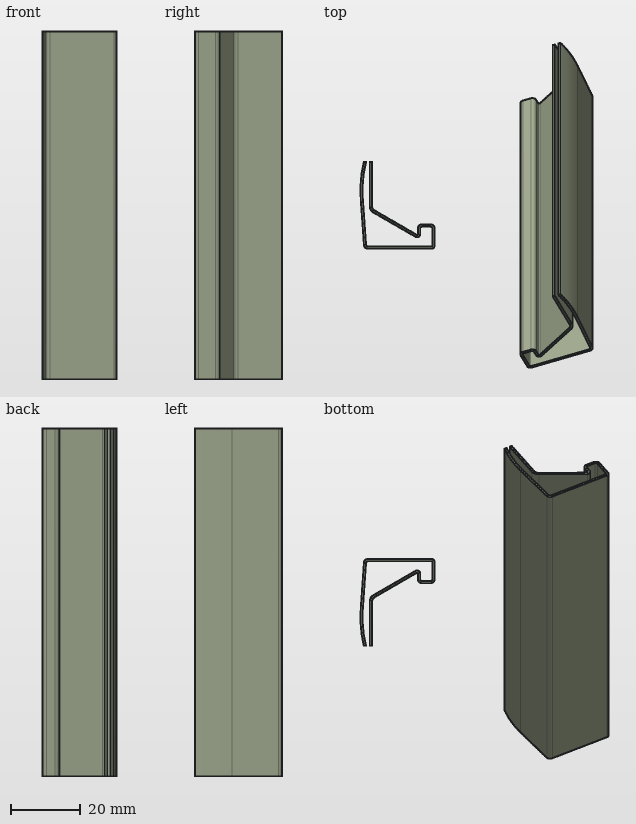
import cadquery as cq
import math

width = 21.39
depth = 25.0
length = 100.0
thickness = 0.7

tight_radius = 0.2
normal_radius = 0.5
wide_radius = 1.5

lean = math.radians(4)
curve_start_y = 14.5
curve_radius = 34.0

arm_x = 2.7
arm_slope = math.radians(30)
hook_x = 16.55
hook_top_y = 7.05
arm_corner_y = 11.05


def polar(center, radius, angle):
    """Point on a circle, with the angle measured from -X towards +Y."""
    return (center[0] - radius * math.cos(angle), center[1] + radius * math.sin(angle))


def lean_x(distance, y):
    """X of the straight outer wall line lying `distance` inside its outer face, at height y."""
    start = polar(curve_center, curve_radius - distance, -lean)
    return start[0] + (start[1] - y) * math.tan(lean)


def slope_y(distance, x):
    """Y of the sloping web line lying `distance` above its lower face, at position x."""
    return arm_corner_y + distance / math.cos(arm_slope) - (x - arm_x) * math.tan(arm_slope)


curve_center = (curve_radius, curve_start_y + curve_radius * math.sin(lean))
inner_curve_radius = curve_radius - thickness
end_angle = math.asin((depth - curve_center[1]) / curve_radius)
inner_end_angle = math.asin((depth - curve_center[1]) / inner_curve_radius)

arm_inside_x = arm_x + thickness
hook_inside_x = hook_x + thickness
wall_inside_x = width - thickness
hook_under_y = hook_top_y - thickness

base_left, base_left_in = (lean_x(0, 0), 0), (lean_x(thickness, thickness), thickness)
base_right, base_right_in = (width, 0), (wall_inside_x, thickness)
top_right, top_right_in = (width, hook_top_y), (wall_inside_x, hook_under_y)
top_left, top_left_in = (hook_x, hook_top_y), (hook_inside_x, hook_under_y)
hook_foot, hook_foot_in = (hook_inside_x, slope_y(0, hook_inside_x)), (hook_x, slope_y(thickness, hook_x))
arm_foot, arm_foot_in = (arm_x, slope_y(0, arm_x)), (arm_inside_x, slope_y(thickness, arm_inside_x))

bends = [
    (base_left, base_left_in, normal_radius),
    (base_right, base_right_in, tight_radius),
    (top_right, top_right_in, normal_radius),
    (top_left, top_left_in, normal_radius),
    (hook_foot, hook_foot_in, tight_radius),
    (arm_foot, arm_foot_in, wide_radius),
]


def sharp_profile():
    """The folded strip with unrounded bends, extruded along Z."""
    return (
        cq.Workplane("XY")
        .moveTo(*base_left)
        .lineTo(*base_right)
        .lineTo(*top_right)
        .lineTo(*top_left)
        .lineTo(*hook_foot_in)
        .lineTo(*arm_foot_in)
        .lineTo(arm_inside_x, depth)
        .lineTo(arm_x, depth)
        .lineTo(*arm_foot)
        .lineTo(*hook_foot)
        .lineTo(*top_left_in)
        .lineTo(*top_right_in)
        .lineTo(*base_right_in)
        .lineTo(*base_left_in)
        .lineTo(*polar(curve_center, inner_curve_radius, -lean))
        .threePointArc(
            polar(curve_center, inner_curve_radius, (inner_end_angle - lean) / 2),
            polar(curve_center, inner_curve_radius, inner_end_angle),
        )
        .lineTo(*polar(curve_center, curve_radius, end_angle))
        .threePointArc(
            polar(curve_center, curve_radius, (end_angle - lean) / 2),
            polar(curve_center, curve_radius, -lean),
        )
        .close()
        .extrude(length)
    )


def round_corner(body, corner, radius):
    """Round the edge along Z that passes through the given corner."""
    nearest = cq.selectors.NearestToPointSelector((*corner, length / 2))
    return body.edges("|Z").edges(nearest).fillet(radius)


result = sharp_profile()
for outside, inside, inside_radius in bends:
    result = round_corner(result, inside, inside_radius)
    result = round_corner(result, outside, inside_radius + thickness)